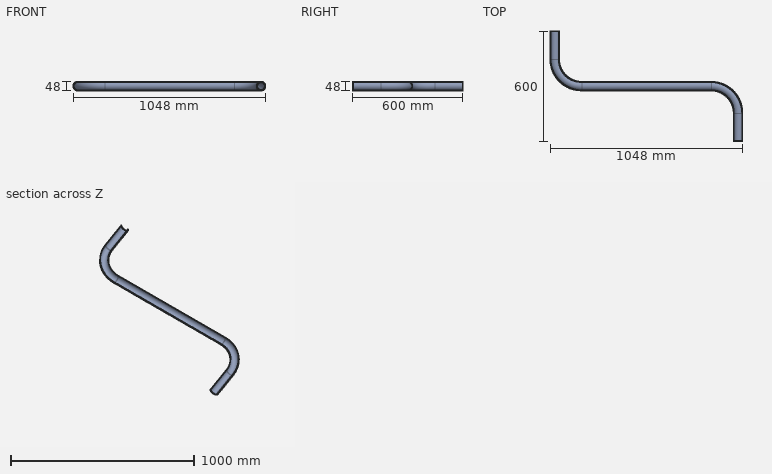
import cadquery as cq

overall_length = 1048.0
overall_width = 600.0
tube_diameter = 48.0
wall_thickness = 3.0
bend_radius = 147.0

tube_radius = tube_diameter / 2
bore_radius = tube_radius - wall_thickness
leg_x = overall_length / 2 - tube_radius
leg_end_y = overall_width / 2
bend_start_x = leg_x - bend_radius

centreline = (
    cq.Workplane("XY")
    .moveTo(-leg_x, leg_end_y)
    .lineTo(-leg_x, bend_radius)
    .radiusArc((-bend_start_x, 0), -bend_radius)
    .lineTo(bend_start_x, 0)
    .radiusArc((leg_x, -bend_radius), bend_radius)
    .lineTo(leg_x, -leg_end_y)
)

section = (
    cq.Workplane("XZ", origin=(-leg_x, leg_end_y, 0))
    .circle(tube_radius)
    .circle(bore_radius)
)
result = section.sweep(centreline)